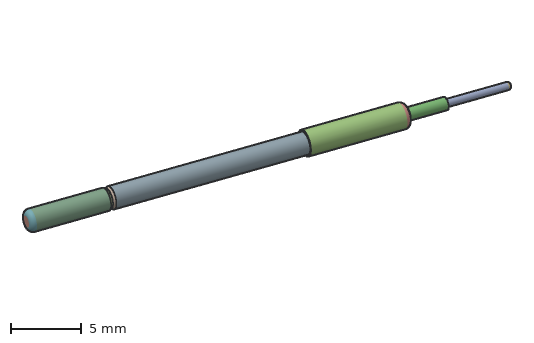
import cadquery as cq

total_length = 38.3
tail_y = -total_length / 2
tip_y = total_length / 2

tube_diameter = 1.72
collar_diameter = 2.0
barrel_diameter = 1.0
pin_diameter = 0.6

pin_length = 5.15
barrel_length = 3.05
collar_length = 8.1
groove_width = 0.42
groove_depth = 0.1
groove_from_tail = 6.3

tail_radius = 0.42
collar_radius = 0.45
tip_radius = 0.25

barrel_front_y = tip_y - pin_length
collar_front_y = barrel_front_y - barrel_length
collar_back_y = collar_front_y - collar_length
groove_back_y = tail_y + groove_from_tail


def cylinder_along_y(diameter, start_y, end_y):
    """Solid cylinder on the Y axis between two stations."""
    start_plane = cq.Workplane(cq.Plane((0, start_y, 0), (1, 0, 0), (0, 1, 0)))
    return start_plane.circle(diameter / 2).extrude(end_y - start_y)


tube = cylinder_along_y(tube_diameter, tail_y, collar_back_y).faces("<Y").edges().fillet(tail_radius)
tube_radius = tube_diameter / 2
groove_ring = (
    cq.Workplane("XY")
    .moveTo(tube_radius, groove_back_y)
    .lineTo(tube_radius - groove_depth, groove_back_y + groove_width / 2)
    .lineTo(tube_radius, groove_back_y + groove_width)
    .close()
    .revolve(360, (0, 0, 0), (0, 1, 0))
)
tube = tube.cut(groove_ring)

collar = cylinder_along_y(collar_diameter, collar_back_y, collar_front_y)
collar = collar.faces(">Y").edges().fillet(collar_radius)

barrel = cylinder_along_y(barrel_diameter, collar_front_y, barrel_front_y)
pin = cylinder_along_y(pin_diameter, barrel_front_y, tip_y).faces(">Y").edges().fillet(tip_radius)

result = tube.union(collar).union(barrel).union(pin)